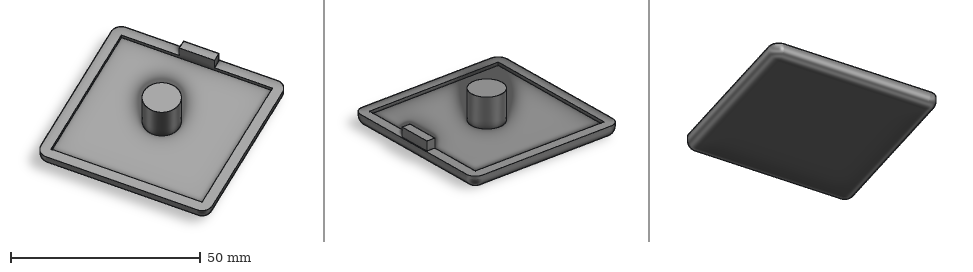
import cadquery as cq

side = 50.0
plate_height = 4.0
edge_radius = 3.0

rim_width = 3.0
recess_depth = 1.0
recess_side = side - 2 * rim_width
floor_z = plate_height - recess_depth

pin_diameter = 10.4
total_height = 12.5

tab_width = 10.3
tab_top_z = 7.0
tab_inset = 0.3
tab_depth = rim_width - tab_inset


def make_plate():
    """Square plate with rounded corners and a rounded bottom edge."""
    blank = cq.Workplane("XY").rect(side, side).extrude(plate_height)
    return blank.edges("|Z").fillet(edge_radius).faces("<Z").edges().fillet(edge_radius)


def make_recess():
    """Shallow square recess that leaves a raised rim."""
    return cq.Workplane("XY").workplane(offset=floor_z).rect(recess_side, recess_side).extrude(recess_depth)


def make_pin():
    """Round pin standing on the recess floor."""
    return cq.Workplane("XY").workplane(offset=floor_z).circle(pin_diameter / 2).extrude(total_height - floor_z)


def make_tab():
    """Block on the rim, flush with the recess wall and set in from the outer edge."""
    tab_center_y = recess_side / 2 + tab_depth / 2
    return (
        cq.Workplane("XY")
        .workplane(offset=plate_height)
        .center(0, tab_center_y)
        .rect(tab_width, tab_depth)
        .extrude(tab_top_z - plate_height)
    )


result = make_plate().cut(make_recess()).union(make_pin()).union(make_tab())